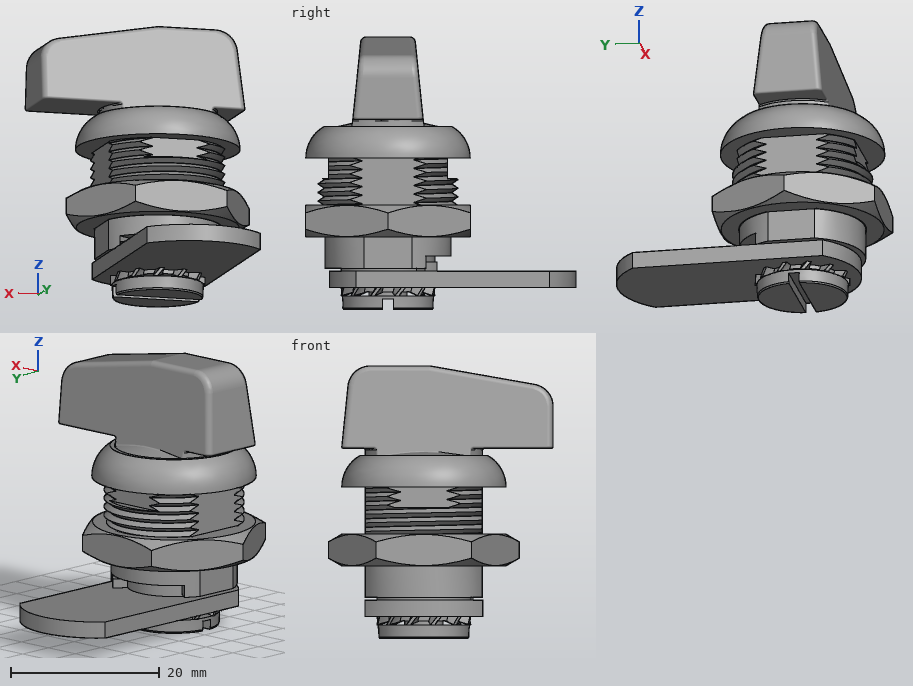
import cadquery as cq
import math


WASHER_Z = 1.85
CAM_Z = 2.95
CAM_TOP = 5.18
HOUSING_Z = 5.55
NUT_Z = 9.73
NUT_TOP = 14.1
FLANGE_Z = 20.37
FLANGE_TOP = 24.67
GRIP_Z = 25.6
GRIP_TOP = 36.7

HEAD_TOP_DIA = 12.35
HEAD_BOTTOM_DIA = 12.2
HEAD_BEVEL_WIDTH = 0.1
HEAD_BEVEL_HEIGHT = 0.22
SLOT_WIDTH = 1.45
SLOT_DEPTH = 1.4
SHANK_DIA = 5.18
SHANK_TOP = 12.85

SHANK_CLEARANCE_DIA = 5.35
WASHER_RING_DIA = 10.1
WASHER_RING_HEIGHT = 0.55
WASHER_DIA = 12.78
TOOTH_ROOT_DIA = 9.18
TOOTH_COUNT = 12
TOOTH_WIDTH = 0.6
TOOTH_LEAN = 0.88
TOOTH_FLAT_WIDTH = 1.32

CAM_WIDTH = 15.9
CAM_TIP_Y = 25.35
CAM_HEEL_Y = -7.9
CAM_END_SAGITTA = 3.6

BARREL_DIA = 17.05
FLANGE_DIA = 22.17
FLANGE_TOP_DIA = 17.15
SIDE_FLATS = 15.8
UPPER_FLATS = 16.08
UPPER_FLATS_Z = 17.62
SHAFT_BORE_DIA = 12.85
CAP_BORE_DIA = 16.05
CAP_SEAT_Z = 22.4
STOP_NOTCH_TOP = 7.2
STOP_NOTCH_START = 37.0
STOP_NOTCH_SWEEP = 106.0

PITCH = 1.155
THREAD_DIA = 18.9
THREAD_ROOT_DIA = 17.25
THREAD_BASE_WIDTH = 1.1
THREAD_ROOT_SINK = 0.05
CREST_Z = 16.05

NUT_FLATS = 22.3
NUT_FACE_DIA = 21.95
NUT_BEVEL_ANGLE = 30.0

SHAFT_DIA = 12.65
STOP_DIA = 16.6
STOP_SWEEP = 16.0
STOP_TOP = 6.42
CAP_DIA = 15.82
CAP_APEX_Z = 26.15
CAP_SLOPE = 0.22
GRIP_LEFT = -11.1
GRIP_RIGHT = 17.42
GRIP_BREAK_X = 0.85
GRIP_HALF_WIDTH = 4.755
GRIP_DRAFT = 5.8
GRIP_NOSE_ANGLE = 10.0
GRIP_CORNER_RADIUS = 3.05
GRIP_EDGE_FILLET = 0.8
LOWER_EDGE_FILLET = 0.25
NECK_OVERLAP = 0.6
NECK_FILLET = 0.2
CAP_JOINT_FILLET = 0.2
LEVEL_TOLERANCE = 0.05


def disk(diameter, bottom, top):
    return cq.Workplane("XY").workplane(offset=bottom).circle(diameter / 2).extrude(top - bottom)


def sector(diameter, start, sweep, bottom, top):
    """Pie slice about the axis; start and sweep are angles in degrees from +X."""
    radius = diameter / 2

    def rim_point(angle):
        return radius * math.cos(math.radians(angle)), radius * math.sin(math.radians(angle))

    return (
        cq.Workplane("XY").workplane(offset=bottom)
        .moveTo(0, 0)
        .lineTo(*rim_point(start))
        .threePointArc(rim_point(start + sweep / 2), rim_point(start + sweep))
        .close()
        .extrude(top - bottom)
    )


def slab_pair(gap, bottom, top):
    """Two blocks that face each other across the axis, `gap` apart along X."""
    depth = FLANGE_DIA
    blocks = cq.Workplane("XY").workplane(offset=bottom).pushPoints(
        [((gap + depth) / 2, 0), (-(gap + depth) / 2, 0)]
    )
    return blocks.rect(depth, 2 * depth).extrude(top - bottom)


def make_screw():
    top_radius = HEAD_TOP_DIA / 2
    bottom_radius = HEAD_BOTTOM_DIA / 2
    head = (
        cq.Workplane("XZ")
        .moveTo(0, 0)
        .lineTo(bottom_radius - HEAD_BEVEL_WIDTH, 0)
        .lineTo(bottom_radius, HEAD_BEVEL_HEIGHT)
        .lineTo(top_radius, WASHER_Z)
        .lineTo(0, WASHER_Z)
        .close()
        .revolve(360, (0, 0, 0), (0, 1, 0))
    )
    slot = cq.Workplane("XY").box(HEAD_TOP_DIA * 2, SLOT_WIDTH, SLOT_DEPTH, centered=(True, True, False))
    return head.cut(slot).union(disk(SHANK_DIA, WASHER_Z, SHANK_TOP))


def make_washer_tooth():
    """Tooth at -Y: flat where it leaves the ring, twisted to stand on edge at the rim."""
    flat = TOOTH_FLAT_WIDTH / 2
    ring_bottom = CAM_Z - WASHER_RING_HEIGHT
    edge_right = (TOOTH_WIDTH + TOOTH_LEAN) / 2
    edge_left = edge_right - TOOTH_WIDTH
    tooth = (
        cq.Workplane("XZ").workplane(offset=TOOTH_ROOT_DIA / 2)
        .polyline([(-flat, ring_bottom), (flat, ring_bottom), (flat, CAM_Z), (-flat, CAM_Z)])
        .close()
        .workplane(offset=(WASHER_DIA - TOOTH_ROOT_DIA) / 2)
        .polyline([(-edge_left, WASHER_Z), (edge_right, CAM_Z), (edge_left, CAM_Z), (-edge_right, WASHER_Z)])
        .close()
        .loft(ruled=True)
    )
    return tooth.intersect(disk(WASHER_DIA, WASHER_Z, CAM_Z))


def make_washer():
    washer = disk(WASHER_RING_DIA, CAM_Z - WASHER_RING_HEIGHT, CAM_Z)
    tooth = make_washer_tooth()
    step = 360 / TOOTH_COUNT
    for index in range(TOOTH_COUNT):
        washer = washer.union(tooth.rotate((0, 0, 0), (0, 0, 1), (index + 0.5) * step))
    return washer.cut(disk(SHANK_CLEARANCE_DIA, WASHER_Z, CAM_Z))


def make_cam():
    half = CAM_WIDTH / 2
    heel_corner_y = CAM_HEEL_Y + CAM_END_SAGITTA
    tip_corner_y = CAM_TIP_Y - CAM_END_SAGITTA
    plate = (
        cq.Workplane("XY").workplane(offset=CAM_Z)
        .moveTo(-half, heel_corner_y)
        .threePointArc((0, CAM_HEEL_Y), (half, heel_corner_y))
        .lineTo(half, tip_corner_y)
        .threePointArc((0, CAM_TIP_Y), (-half, tip_corner_y))
        .close()
        .extrude(CAM_TOP - CAM_Z)
    )
    return plate.cut(disk(SHANK_CLEARANCE_DIA, CAM_Z, CAM_TOP))


def make_thread_ridge():
    """Right-hand sharp-crested helical ridge that starts inside the nut and runs into the flange."""
    root = THREAD_ROOT_DIA / 2
    sunk_root = root - THREAD_ROOT_SINK
    flank_slope = THREAD_BASE_WIDTH / 2 / (THREAD_DIA / 2 - root)
    half_base = flank_slope * (THREAD_DIA / 2 - sunk_root)
    turns_below = math.floor((CREST_Z - half_base - NUT_Z) / PITCH)
    start = CREST_Z - turns_below * PITCH
    length = FLANGE_Z + PITCH - start
    helix = cq.Wire.makeHelix(PITCH, length, root, cq.Vector(0, 0, start))
    return (
        cq.Workplane("XZ")
        .moveTo(sunk_root, start - half_base)
        .lineTo(THREAD_DIA / 2, start)
        .lineTo(sunk_root, start + half_base)
        .close()
        .sweep(cq.Workplane(obj=helix), isFrenet=True)
    )


def make_barrel():
    """Threaded barrel, still without its bore, with flats on four sides."""
    side_flats = slab_pair(SIDE_FLATS, HOUSING_Z, FLANGE_Z)
    upper_flats = slab_pair(UPPER_FLATS, UPPER_FLATS_Z, FLANGE_Z).rotate((0, 0, 0), (0, 0, 1), 90)
    return (
        disk(THREAD_ROOT_DIA, NUT_Z, FLANGE_TOP)
        .union(make_thread_ridge())
        .union(disk(BARREL_DIA, HOUSING_Z, NUT_Z))
        .cut(side_flats)
        .cut(upper_flats)
    )


def make_housing(barrel):
    rim = FLANGE_DIA / 2
    top_rim = FLANGE_TOP_DIA / 2
    dome_height = FLANGE_TOP - FLANGE_Z
    rim_inset = rim - top_rim
    dome_radius = (rim_inset ** 2 + dome_height ** 2) / (2 * rim_inset)
    mid_angle = math.asin(dome_height / dome_radius) / 2
    dome_middle = (
        rim - dome_radius * (1 - math.cos(mid_angle)),
        FLANGE_Z + dome_radius * math.sin(mid_angle),
    )
    flange = (
        cq.Workplane("XZ")
        .moveTo(0, FLANGE_Z)
        .lineTo(rim, FLANGE_Z)
        .threePointArc(dome_middle, (top_rim, FLANGE_TOP))
        .lineTo(0, FLANGE_TOP)
        .close()
        .revolve(360, (0, 0, 0), (0, 1, 0))
    )
    stop_notch = sector(FLANGE_DIA, STOP_NOTCH_START, STOP_NOTCH_SWEEP, HOUSING_Z, STOP_NOTCH_TOP)
    return (
        barrel.union(flange)
        .cut(disk(SHAFT_BORE_DIA, HOUSING_Z, FLANGE_TOP))
        .cut(disk(CAP_BORE_DIA, CAP_SEAT_Z, FLANGE_TOP))
        .cut(stop_notch)
    )


def make_nut(barrel):
    height = NUT_TOP - NUT_Z
    corner_radius = NUT_FLATS / 2 / math.cos(math.radians(30))
    hexagon = cq.Workplane("XY").workplane(offset=NUT_Z).polygon(6, 2 * corner_radius).extrude(height)
    face_radius = NUT_FACE_DIA / 2
    bevel_radius = corner_radius + 0.35
    bevel_drop = (bevel_radius - face_radius) * math.tan(math.radians(NUT_BEVEL_ANGLE))
    bevelled_blank = (
        cq.Workplane("XZ")
        .moveTo(0, NUT_Z)
        .lineTo(face_radius, NUT_Z)
        .lineTo(bevel_radius, NUT_Z + bevel_drop)
        .lineTo(bevel_radius, NUT_TOP - bevel_drop)
        .lineTo(face_radius, NUT_TOP)
        .lineTo(0, NUT_TOP)
        .close()
        .revolve(360, (0, 0, 0), (0, 1, 0))
    )
    return hexagon.intersect(bevelled_blank).cut(barrel)


def grip_wedge(bottom, top):
    """Long block with both sides drafted, GRIP_HALF_WIDTH from its middle at the grip's lower face."""
    draft = math.tan(math.radians(GRIP_DRAFT))
    low = GRIP_HALF_WIDTH + (GRIP_Z - bottom) * draft
    high = GRIP_HALF_WIDTH + (GRIP_Z - top) * draft
    return (
        cq.Workplane("YZ").workplane(offset=-GRIP_TOP)
        .polyline([(-low, bottom), (low, bottom), (high, top), (-high, top)])
        .close()
        .extrude(2 * GRIP_TOP)
    )


def make_grip():
    back_top_x = GRIP_LEFT + (GRIP_TOP - GRIP_Z) * math.tan(math.radians(GRIP_DRAFT))
    nose_top_z = GRIP_TOP - (GRIP_RIGHT - GRIP_BREAK_X) * math.tan(math.radians(GRIP_NOSE_ANGLE))
    grip = (
        cq.Workplane("XZ").workplane(offset=-GRIP_TOP)
        .polyline([
            (GRIP_LEFT, GRIP_Z),
            (GRIP_RIGHT, GRIP_Z),
            (GRIP_RIGHT, nose_top_z),
            (GRIP_BREAK_X, GRIP_TOP),
            (back_top_x, GRIP_TOP),
        ])
        .close()
        .extrude(2 * GRIP_TOP)
    )
    back_corner = cq.selectors.NearestToPointSelector((back_top_x, 0, GRIP_TOP))
    nose_corner = cq.selectors.NearestToPointSelector((GRIP_RIGHT, 0, nose_top_z))
    grip = grip.edges(back_corner).fillet(GRIP_CORNER_RADIUS)
    grip = grip.edges(nose_corner).fillet(GRIP_CORNER_RADIUS)
    grip = grip.intersect(grip_wedge(GRIP_Z, GRIP_TOP))
    side_outline = grip.faces("<Y or >Y").edges("not <Z")
    return side_outline.fillet(GRIP_EDGE_FILLET)


def make_cap_and_neck():
    """Conical cap with the drafted neck rising from it, both trimmed to the cap's diameter."""
    neck_top = GRIP_Z + NECK_OVERLAP
    cone_base = CAP_APEX_Z - CAP_SLOPE * CAP_DIA
    cone = (
        cq.Workplane("XZ")
        .moveTo(0, cone_base)
        .lineTo(CAP_DIA, cone_base)
        .lineTo(0, CAP_APEX_Z)
        .close()
        .revolve(360, (0, 0, 0), (0, 1, 0))
    )
    body = disk(2 * CAP_DIA, CAP_SEAT_Z - 0.35, cone_base).union(cone).union(
        grip_wedge(CAP_SEAT_Z, neck_top).intersect(disk(1.5 * CAP_DIA, CAP_SEAT_Z, neck_top))
    )
    for side in (-1, 1):
        joint_height = CAP_APEX_Z - CAP_SLOPE * GRIP_HALF_WIDTH
        joint = cq.selectors.NearestToPointSelector((0, side * GRIP_HALF_WIDTH, joint_height))
        body = body.edges(joint).fillet(CAP_JOINT_FILLET)
    return body.intersect(disk(CAP_DIA, CAP_SEAT_Z, neck_top))


def make_handle():
    lower_face_level = cq.selectors.BoxSelector(
        (GRIP_LEFT, -GRIP_TOP, GRIP_Z - LEVEL_TOLERANCE),
        (GRIP_TOP, GRIP_TOP, GRIP_Z + LEVEL_TOLERANCE),
    )
    handle = make_grip().union(make_cap_and_neck())
    handle = handle.edges(lower_face_level).edges("%CIRCLE").fillet(NECK_FILLET)
    handle = handle.edges(lower_face_level).edges("|X").fillet(LOWER_EDGE_FILLET)
    stop = sector(STOP_DIA, STOP_NOTCH_START, STOP_SWEEP, CAM_TOP, STOP_TOP)
    return (
        handle
        .union(disk(SHAFT_DIA, CAM_TOP, CAP_SEAT_Z))
        .union(stop)
        .cut(disk(SHANK_DIA, CAM_TOP, SHANK_TOP))
    )


barrel = make_barrel()
screw = make_screw()
washer = make_washer()
cam = make_cam()
housing = make_housing(barrel)
nut = make_nut(barrel)
handle = make_handle()

result = cq.Compound.makeCompound([
    screw.val(),
    washer.val(),
    cam.val(),
    housing.val(),
    nut.val(),
    handle.val(),
])